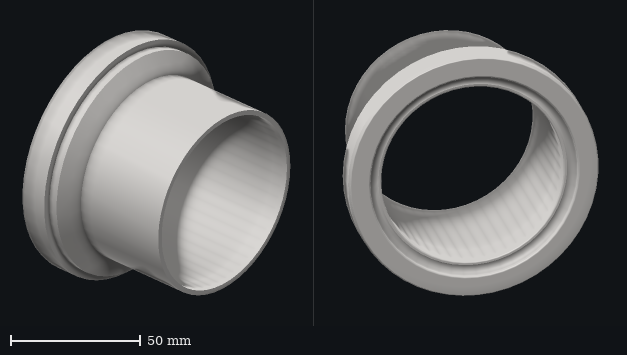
import cadquery as cq
import math

length = 61.0
flange_diameter = 98.9
collar_diameter = 93.0
tube_diameter = 76.1
bore_diameter = 72.1

flange_end = 12.0
collar_end = 15.7
cone_end = 20.8

taper_length = 1.9
taper_drop = 0.5
face_edge_round = 0.4

groove_outer_radius = 41.0
groove_inner_radius = 37.3
groove_edge_round = 0.7
lip_setback = 2.9
lip_edge_round = 0.6

groove_width = groove_outer_radius - groove_inner_radius
groove_depth_at_lip = lip_setback - groove_edge_round
groove_radius = (groove_width**2 + groove_depth_at_lip**2) / (2 * groove_width)
groove_mid_radius = groove_outer_radius - groove_radius
groove_bottom_x = groove_edge_round + groove_radius

flange_radius = flange_diameter / 2
collar_radius = collar_diameter / 2
tube_radius = tube_diameter / 2
bore_radius = bore_diameter / 2
rim_radius = flange_radius - taper_drop

quarter_arc = 1 - math.sqrt(0.5)

section = (
    cq.Workplane("XY")
    .moveTo(length, bore_radius)
    .lineTo(length, tube_radius)
    .lineTo(cone_end, tube_radius)
    .lineTo(collar_end, collar_radius)
    .lineTo(flange_end, collar_radius)
    .lineTo(flange_end, flange_radius)
    .lineTo(taper_length, flange_radius)
    .lineTo(face_edge_round, rim_radius)
    .threePointArc(
        (quarter_arc * face_edge_round, rim_radius - quarter_arc * face_edge_round),
        (0, rim_radius - face_edge_round),
    )
    .lineTo(0, groove_outer_radius + groove_edge_round)
    .threePointArc(
        (quarter_arc * groove_edge_round, groove_outer_radius + quarter_arc * groove_edge_round),
        (groove_edge_round, groove_outer_radius),
    )
    .threePointArc(
        (groove_bottom_x, groove_mid_radius),
        (lip_setback, groove_inner_radius),
    )
    .lineTo(lip_setback, bore_radius + lip_edge_round)
    .threePointArc(
        (lip_setback + quarter_arc * lip_edge_round, bore_radius + quarter_arc * lip_edge_round),
        (lip_setback + lip_edge_round, bore_radius),
    )
    .close()
)

result = section.revolve(360, (0, 0, 0), (1, 0, 0))